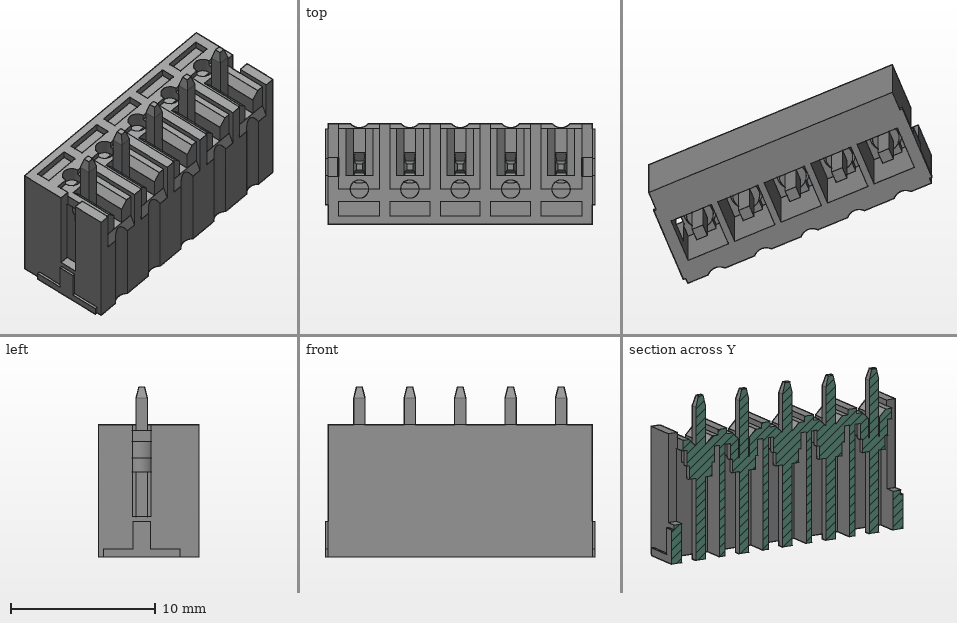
import cadquery as cq
import math

overall_length = 18.7
rib_thickness = 0.19
body_length = overall_length - 2 * rib_thickness
body_width = 7.0
body_height = 9.18
overall_height = 11.8
back_y = body_width / 2
front_y = -back_y

pin_count = 5
pin_pitch = 3.5
pin_y = 0.49
pin_width = 0.8
pin_tip_width = 0.41
pin_taper_height = 0.79

pocket_depth = 0.4
pocket_half_length = 1.38
end_wall_thickness = 0.73
pocket_front_y = -1.05

recess_depth = 0.55
recess_width = 1.01
recess_center_y = -2.41
round_hole_radius = 0.64
round_hole_depth = 1.12

slot_half_mouth = 0.94
slot_half_channel = 0.41
slot_front_y = -0.11
slot_floor_depth = 2.25
channel_wall = 0.19
funnel_back_y = 1.48
funnel_pin_half_length = 0.3
funnel_depth = 0.43

back_step = 0.34
back_ledge_drop = 0.75
groove_radius = 0.85
groove_depth = 0.28

chamber_half_size = 1.51
chamber_roof_depth = 1.18
upper_collar_radius = 1.12
upper_collar_depth = 2.32
lower_collar_radius = 0.94
lower_collar_depth = 3.3

window_width = 1.3
window_depth = 6.38

rib_stem_width = 1.2
rib_stem_height = 2.47
rib_bar_height = 0.56
rib_bar_back_y = back_y - 0.37
rib_bar_front_y = front_y + 1.35


def box_between(x_range, y_range, z_range):
    """Box spanning the given (low, high) limits on each axis."""
    lows, highs = zip(x_range, y_range, z_range)
    size = [high - low for low, high in zip(lows, highs)]
    return cq.Workplane("XY").box(*size, centered=False).translate(lows)


def from_top(depth):
    """Height of a level lying the given depth below the top of the housing."""
    return body_height - depth


def vertical_cylinder(x, y, radius, z_low, z_high):
    return cq.Workplane("XY", origin=(x, y, z_low)).circle(radius).extrude(z_high - z_low)


def pocket_x_range(x):
    """Pocket limits in X; the outermost pockets reach to the end walls."""
    inner_limit = body_length / 2 - end_wall_thickness
    outermost = (pin_count - 1) / 2 * pin_pitch
    low = -inner_limit if math.isclose(x, -outermost) else x - pocket_half_length
    high = inner_limit if math.isclose(x, outermost) else x + pocket_half_length
    return low, high


def chamber(x):
    """Space around the pin, less the stepped collar and the channel block left standing in it."""
    roof_z = from_top(chamber_roof_depth)
    space = box_between(
        (x - chamber_half_size, x + chamber_half_size),
        (pin_y - chamber_half_size, pin_y + chamber_half_size),
        (0, roof_z),
    )
    upper_collar = vertical_cylinder(x, pin_y, upper_collar_radius, from_top(upper_collar_depth), roof_z)
    lower_collar = vertical_cylinder(x, pin_y, lower_collar_radius, from_top(lower_collar_depth), roof_z)
    half_block = slot_half_channel + channel_wall
    channel_block = box_between(
        (x - half_block, x + half_block),
        (pin_y, back_y),
        (from_top(slot_floor_depth + channel_wall), roof_z),
    )
    return space.cut(upper_collar).cut(lower_collar).cut(channel_block)


def top_openings(x):
    """Pocket, rectangular recess and round hole belonging to one pin."""
    x_range = pocket_x_range(x)
    pocket = box_between(x_range, (pocket_front_y, back_y), (from_top(pocket_depth), body_height))
    recess = box_between(
        x_range,
        (recess_center_y - recess_width / 2, recess_center_y + recess_width / 2),
        (from_top(recess_depth), body_height),
    )
    hole = vertical_cylinder(x, pocket_front_y, round_hole_radius, from_top(round_hole_depth), body_height)
    return pocket.union(recess).union(hole)


def pin_slot(x):
    """Slot with 45 degree lips, running from in front of the pin out through the back."""
    lip_z = from_top(pocket_depth)
    channel_top_z = lip_z - (slot_half_mouth - slot_half_channel)
    floor_z = from_top(slot_floor_depth)
    return (
        cq.Workplane("XZ", origin=(x, back_y, 0))
        .moveTo(-slot_half_mouth, lip_z)
        .lineTo(-slot_half_channel, channel_top_z)
        .lineTo(-slot_half_channel, floor_z)
        .lineTo(slot_half_channel, floor_z)
        .lineTo(slot_half_channel, channel_top_z)
        .lineTo(slot_half_mouth, lip_z)
        .close()
        .extrude(back_y - slot_front_y)
    )


def pin_funnel(x):
    """Tapered recess in the slot floor, narrowing down onto the pin."""
    mouth_length = funnel_back_y - slot_front_y
    mouth_center_y = (funnel_back_y + slot_front_y) / 2
    return (
        cq.Workplane("XY", origin=(x, mouth_center_y, from_top(slot_floor_depth)))
        .rect(2 * slot_half_channel, mouth_length)
        .workplane(offset=-funnel_depth)
        .center(0, pin_y - mouth_center_y)
        .rect(2 * funnel_pin_half_length, pin_width)
        .loft(ruled=True)
    )


def back_relief(x):
    """Step in the back face ending in a sloping ledge, and the round groove below it."""
    low, high = pocket_x_range(x)
    ledge_z = from_top(slot_floor_depth)
    step = (
        cq.Workplane("YZ", origin=(low, 0, 0))
        .moveTo(back_y, body_height)
        .lineTo(back_y - back_step, body_height)
        .lineTo(back_y - back_step, ledge_z)
        .lineTo(back_y, ledge_z - back_ledge_drop)
        .close()
        .extrude(high - low)
    )
    groove_center_y = back_y - groove_depth + groove_radius
    return step.union(vertical_cylinder(x, groove_center_y, groove_radius, 0, body_height))


def end_window():
    """Opening through the wall at the -X end, from the top down."""
    outer_x = -body_length / 2
    return box_between(
        (outer_x, outer_x + end_wall_thickness),
        (pin_y - window_width / 2, pin_y + window_width / 2),
        (from_top(window_depth), body_height),
    )


def end_rib():
    """T-shaped rib on the -X end face."""
    x_range = (-overall_length / 2, -body_length / 2)
    stem = box_between(x_range, (pin_y - rib_stem_width / 2, pin_y + rib_stem_width / 2), (0, rib_stem_height))
    bar = box_between(x_range, (rib_bar_front_y, rib_bar_back_y), (0, rib_bar_height))
    return stem.union(bar)


def pin(x):
    """Square pin rising from the underside level to a tapered tip."""
    shank_height = overall_height - pin_taper_height
    shank = cq.Workplane("XY", origin=(x, pin_y, 0)).rect(pin_width, pin_width).extrude(shank_height)
    tip = (
        cq.Workplane("XY", origin=(x, pin_y, shank_height))
        .rect(pin_width, pin_width)
        .workplane(offset=pin_taper_height)
        .rect(pin_tip_width, pin_tip_width)
        .loft(ruled=True)
    )
    return shank.union(tip)


pin_positions = [(i - (pin_count - 1) / 2) * pin_pitch for i in range(pin_count)]

result = box_between((-body_length / 2, body_length / 2), (front_y, back_y), (0, body_height))
for x in pin_positions:
    for cutter in (chamber, top_openings, pin_slot, pin_funnel, back_relief):
        result = result.cut(cutter(x))
    result = result.union(pin(x))

window = end_window()
rib = end_rib()
result = result.cut(window).cut(window.mirror("YZ"))
result = result.union(rib).union(rib.mirror("YZ"))